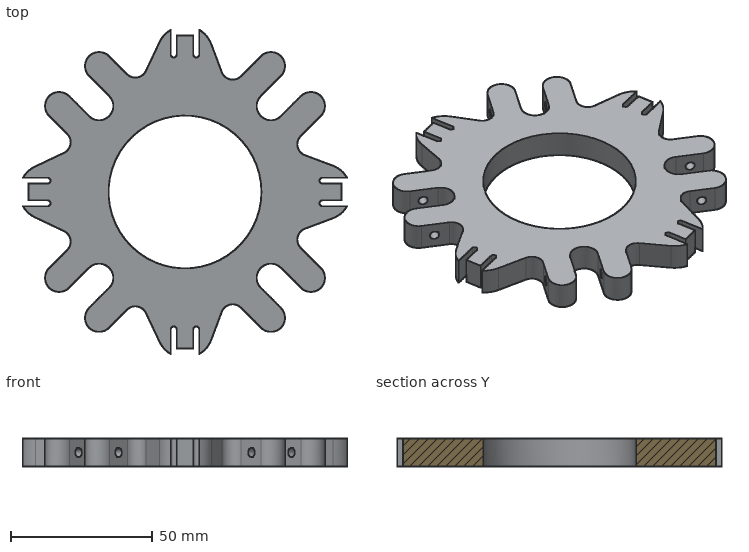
import cadquery as cq
import math

THICKNESS = 10.0
BORE_DIAMETER = 54.0
OVERALL_WIDTH = 114.82

ARM_WIDTH = 10.0
ARM_RADIUS = ARM_WIDTH / 2
ARM_GAP = 10.0
ARM_OFFSET = (ARM_WIDTH + ARM_GAP) / 2
ARM_OUTER_OFFSET = ARM_OFFSET + ARM_RADIUS
ARM_REACH = 58.0
ARM_END_CENTRE = ARM_REACH - ARM_RADIUS
GAP_LENGTH = 10.0
GAP_ROOT_CENTRE = ARM_END_CENTRE - GAP_LENGTH

CROSS_HOLE_DIAMETER = 3.3
CROSS_HOLE_SETBACK = 9.75
CROSS_HOLE_POSITION = ARM_REACH - CROSS_HOLE_SETBACK

TAB_WIDTH = 6.0
SLOT_WIDTH = 2.0
SLOT_OUTER_X = TAB_WIDTH / 2 + SLOT_WIDTH
TIP_HEIGHT = OVERALL_WIDTH / 2
TAB_SETBACK = 2.0
TAB_HEIGHT = TIP_HEIGHT - TAB_SETBACK
SLOT_DEPTH = 9.8
SLOT_BOTTOM = TIP_HEIGHT - SLOT_DEPTH
LOBE_RADIUS = 10.0
LOBE_CENTRE = TIP_HEIGHT - math.sqrt(LOBE_RADIUS**2 - SLOT_OUTER_X**2)

FLANK_LEAN_PLUS_X = 20.5
FLANK_LEAN_MINUS_X = 25.4
FLANK_FILLET = 4.1


def polar(centre, radius, degrees):
    """Point on a circle at the given angle from +X."""
    angle = math.radians(degrees)
    return (centre[0] + radius * math.cos(angle), centre[1] + radius * math.sin(angle))


def fillet_centre(lean):
    """Centre of the fillet between a lobe flank and the outer side of the nearest arm (+X +Y quadrant)."""
    cos_lean = math.cos(math.radians(lean))
    sin_lean = math.sin(math.radians(lean))
    rise = (ARM_OUTER_OFFSET + FLANK_FILLET) * math.sqrt(2)
    reach = LOBE_RADIUS + FLANK_FILLET
    x = (reach + (LOBE_CENTRE - rise) * sin_lean) / (cos_lean + sin_lean)
    return (x, x + rise)


def on_diagonal(along, across):
    """Point given by its distance along the +X +Y diagonal and to its upper left."""
    return ((along - across) / math.sqrt(2), (along + across) / math.sqrt(2))


def half_quadrant(lean):
    """Profile between the +Y axis and the +X +Y diagonal: half a lobe, one arm and half a gap root."""
    lobe_centre = (0, LOBE_CENTRE)
    tip = (SLOT_OUTER_X, TIP_HEIGHT)
    tip_angle = math.degrees(math.acos(SLOT_OUTER_X / LOBE_RADIUS))
    root = fillet_centre(lean)
    arm_end = on_diagonal(ARM_END_CENTRE, ARM_OFFSET)
    gap_root = on_diagonal(GAP_ROOT_CENTRE, 0)
    fillet_start_angle = 180 + lean
    fillet_end_angle = 315
    fillet_mid_angle = (fillet_start_angle + fillet_end_angle) / 2
    return (
        cq.Workplane("XY")
        .lineTo(0, TIP_HEIGHT)
        .lineTo(*tip)
        .threePointArc(
            polar(lobe_centre, LOBE_RADIUS, (tip_angle + lean) / 2),
            polar(lobe_centre, LOBE_RADIUS, lean),
        )
        .lineTo(*polar(root, FLANK_FILLET, fillet_start_angle))
        .threePointArc(
            polar(root, FLANK_FILLET, fillet_mid_angle),
            polar(root, FLANK_FILLET, fillet_end_angle),
        )
        .lineTo(*polar(arm_end, ARM_RADIUS, 135))
        .threePointArc(polar(arm_end, ARM_RADIUS, 45), polar(arm_end, ARM_RADIUS, -45))
        .lineTo(*polar(gap_root, ARM_GAP / 2, 135))
        .threePointArc(polar(gap_root, ARM_GAP / 2, 180), polar(gap_root, ARM_GAP / 2, 225))
        .close()
        .extrude(THICKNESS)
    )


def make_half_plate(lean):
    """Solid +X half of the plate outline, from four wedges mirrored about the diagonals and the X axis."""
    upper = half_quadrant(lean)
    upper_quadrant = upper.union(upper.mirror(cq.Vector(1, -1, 0), (0, 0, 0)))
    return upper_quadrant.union(upper_quadrant.mirror("XZ"))


def make_body():
    """Plate outline; the -X half has the wider lobe flanks."""
    plus_x_half = make_half_plate(FLANK_LEAN_PLUS_X)
    minus_x_half = make_half_plate(FLANK_LEAN_MINUS_X).mirror("YZ")
    return plus_x_half.union(minus_x_half).clean()


def make_lobe_cut():
    """Two round-bottomed slots and the strip removed above the tab, on the +Y lobe."""
    cut = cq.Workplane("XY").center(0, TAB_HEIGHT + TAB_SETBACK / 2)
    cut = cut.rect(2 * SLOT_OUTER_X, TAB_SETBACK).extrude(THICKNESS)
    slot_radius = SLOT_WIDTH / 2
    slot_x = SLOT_OUTER_X - slot_radius
    for x in (-slot_x, slot_x):
        slot = (
            cq.Workplane("XY")
            .moveTo(x - slot_radius, TIP_HEIGHT)
            .lineTo(x - slot_radius, SLOT_BOTTOM + slot_radius)
            .threePointArc((x, SLOT_BOTTOM), (x + slot_radius, SLOT_BOTTOM + slot_radius))
            .lineTo(x + slot_radius, TIP_HEIGHT)
            .close()
            .extrude(THICKNESS)
        )
        cut = cut.union(slot)
    return cut


def make_cross_hole():
    """Cylinder through both arms of a pair lying along the +X axis."""
    start = (CROSS_HOLE_POSITION, -ARM_OUTER_OFFSET, THICKNESS / 2)
    plane = cq.Plane(origin=start, xDir=(0, 0, -1), normal=(0, 1, 0))
    return (
        cq.Workplane(plane)
        .circle(CROSS_HOLE_DIAMETER / 2)
        .extrude(2 * ARM_OUTER_OFFSET)
    )


bore = cq.Workplane("XY").circle(BORE_DIAMETER / 2).extrude(THICKNESS)
result = make_body().cut(bore)
lobe_cut = make_lobe_cut()
cross_hole = make_cross_hole()
for quarter in range(4):
    turn = 90 * quarter
    result = result.cut(lobe_cut.rotate((0, 0, 0), (0, 0, 1), turn))
    result = result.cut(cross_hole.rotate((0, 0, 0), (0, 0, 1), turn + 45))